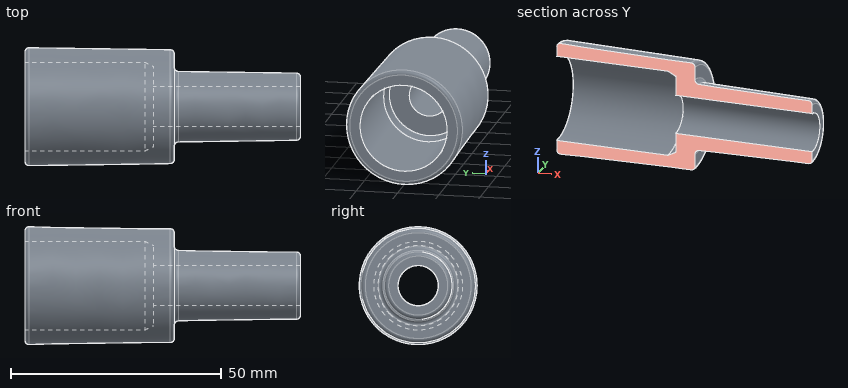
import cadquery as cq
import math

total_length = 65.5
socket_length = 35.5

draft_angle = 0.8
draft_slope = 2 * math.tan(math.radians(draft_angle))
socket_mouth_diameter = 28.1
socket_shoulder_diameter = socket_mouth_diameter - draft_slope * socket_length
spigot_tip_diameter = 16.0
spigot_root_diameter = spigot_tip_diameter + draft_slope * (total_length - socket_length)

socket_bore_diameter = 21.1
socket_floor_diameter = 19.1
floor_cone_length = 2.0
through_bore_diameter = 9.5
floor_thickness = 5.0
socket_bore_depth = socket_length - floor_thickness

edge_radius = 1.0


def turned_solid(profile):
    """Revolve a list of (x, diameter) points, closed along the axis, about X."""
    first_x = profile[0][0]
    last_x = profile[-1][0]
    outline = [(first_x, 0)]
    outline += [(x, diameter / 2) for x, diameter in profile]
    outline.append((last_x, 0))
    return cq.Workplane("XY").polyline(outline).close().revolve(360, (0, 0), (1, 0))


def rounded_body():
    """Tapered socket and spigot, with all outer corners and the root rounded."""
    body = turned_solid([
        (0, socket_mouth_diameter),
        (socket_length, socket_shoulder_diameter),
        (socket_length, spigot_root_diameter),
        (total_length, spigot_tip_diameter),
    ])
    return body.edges("%CIRCLE").fillet(edge_radius)


def socket_bore():
    return turned_solid([
        (0, socket_bore_diameter),
        (socket_bore_depth - floor_cone_length, socket_bore_diameter),
        (socket_bore_depth, socket_floor_diameter),
    ])


def through_bore():
    return turned_solid([
        (0, through_bore_diameter),
        (total_length, through_bore_diameter),
    ])


result = rounded_body().cut(socket_bore()).cut(through_bore())